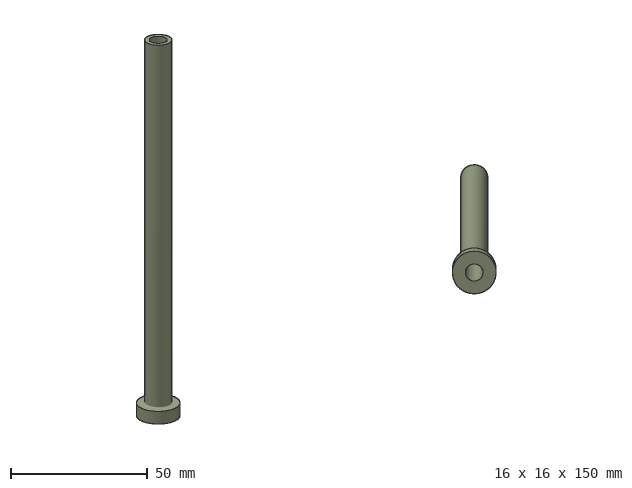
import cadquery as cq

total_length = 150.0
head_diameter = 16.0
head_height = 5.1
tube_diameter = 10.0
bore_diameter = 6.5
root_fillet = 0.5

head = cq.Workplane("XY").circle(head_diameter / 2).extrude(head_height)

tube = cq.Workplane("XY").circle(tube_diameter / 2).extrude(total_length)
body = head.union(tube)

root_reach = tube_diameter / 2 + root_fillet
root_zone = cq.selectors.BoxSelector(
    (-root_reach, -root_reach, head_height - root_fillet),
    (root_reach, root_reach, head_height + root_fillet),
    boundingbox=True,
)
body = body.edges(root_zone).fillet(root_fillet)

result = body.faces(">Z").workplane().hole(bore_diameter)